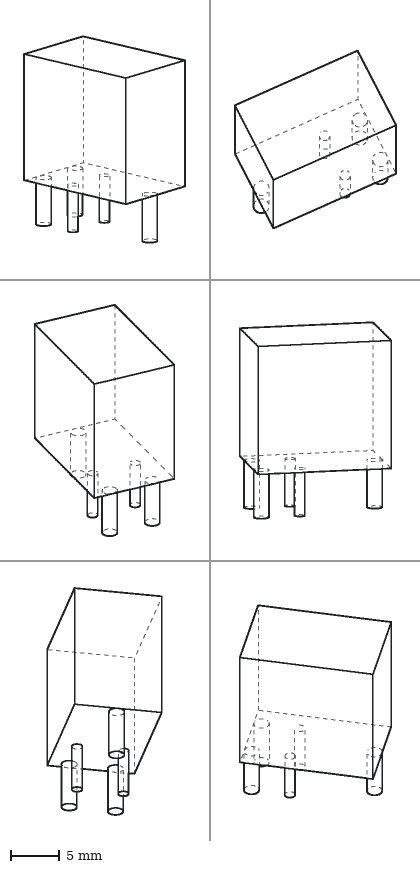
import cadquery as cq

body_length = 14.05
body_width = 9.2
total_height = 18.5
pin_length = 5.0
body_height = total_height - pin_length

thick_pin_diameter = 1.6
thin_pin_diameter = 1.1
end_pin_x = (body_length - thick_pin_diameter) / 2
thin_pin_x = -2.18
pin_row_offset = 2.45


def pins(diameter, centers):
    """Vertical round pins from the underside of the body down to their tips."""
    return (
        cq.Workplane("XY")
        .pushPoints(centers)
        .circle(diameter / 2)
        .extrude(-pin_length)
    )


body = cq.Workplane("XY").box(body_length, body_width, body_height, centered=(True, True, False))

thick_pins = pins(
    thick_pin_diameter,
    [(-end_pin_x, -pin_row_offset), (-end_pin_x, pin_row_offset), (end_pin_x, 0)],
)

thin_pins = pins(thin_pin_diameter, [(thin_pin_x, -pin_row_offset), (thin_pin_x, pin_row_offset)])

result = body.union(thick_pins).union(thin_pins)